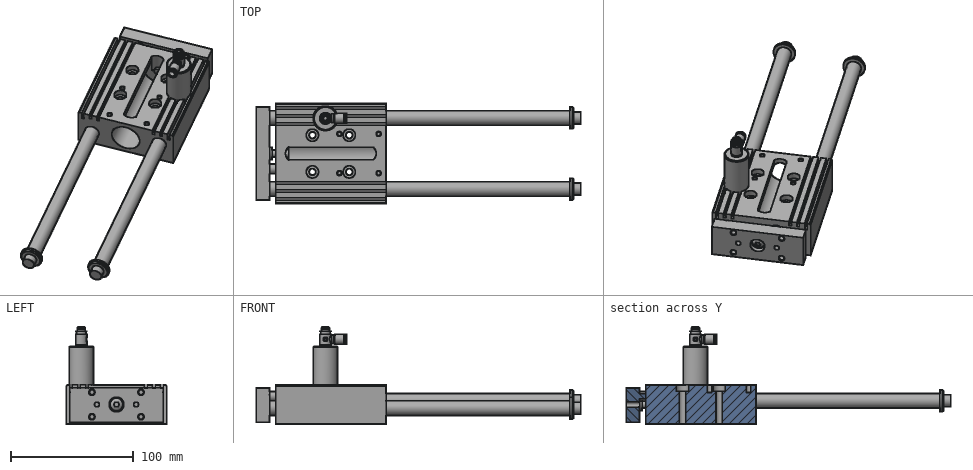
import cadquery as cq

CUT_MARGIN = 1.0

HOUSING_LENGTH = 90.0
HOUSING_WIDTH = 82.0
HOUSING_HEIGHT = 32.0
HOUSING_START = 16.0
HOUSING_END = HOUSING_START + HOUSING_LENGTH
EDGE_CHAMFER = 1.0
MID_HEIGHT = HOUSING_HEIGHT / 2

GROOVE_WIDTH = 2.0
GROOVE_DEPTH = 4.0
OUTER_GROOVE_DEPTH = 6.0
GROOVES = [(24.0, GROOVE_DEPTH), (30.5, GROOVE_DEPTH), (37.0, OUTER_GROOVE_DEPTH)]

BORE_DIAMETER = 24.0
BORE_START = 26.5
SLOT_WIDTH = 10.5
SLOT_END_BULGE = 2.5
SLOT_START = BORE_START - SLOT_END_BULGE
SLOT_END = 98.0

MOUNT_HOLE_DIAMETER = 5.2
MOUNT_BORE_DIAMETER = 10.0
MOUNT_BORE_DEPTH = 5.0
MOUNT_SPACING = 30.0
MOUNT_CENTER_X = 61.0

TOP_THREAD_CORE = 3.24
TOP_THREAD_MOUTH = 4.02
TOP_THREAD_DEPTH = 6.0
TOP_THREAD_SPACING = 32.0
TOP_THREAD_CENTER_X = 84.0

ROD_DIAMETER = 12.0
ROD_SIDE_OFFSET = 29.0
ROD_HEIGHT_OFFSET = 3.0
ROD_POSITIONS = [
    (-ROD_SIDE_OFFSET, MID_HEIGHT - ROD_HEIGHT_OFFSET),
    (ROD_SIDE_OFFSET, MID_HEIGHT + ROD_HEIGHT_OFFSET),
]
TOTAL_LENGTH = 265.0
STOP_DIAMETER = 18.0
STOP_THICKNESS = 3.0
STOP_CHAMFER = 1.0
ROD_TIP_DIAMETER = 10.0
ROD_TIP_LENGTH = 6.0
ROD_STOP_START = TOTAL_LENGTH - ROD_TIP_LENGTH - STOP_THICKNESS

PLATE_THICKNESS = 11.0
PLATE_WIDTH = 76.0
PLATE_HEIGHT = 28.0
PLATE_BOTTOM = 1.5
PLATE_THREAD_CORE = 4.13
PLATE_THREAD_MOUTH = 5.02
PLATE_THREAD_SPACING = (40.0, 20.0)
DOWEL_DIAMETER = 4.0
DOWEL_SPACING = 32.0

SCREW_RECESS_DIAMETER = 12.0
SCREW_RECESS_DEPTH = 4.5
SCREW_HEAD_DIAMETER = 10.5
SCREW_HEAD_HEIGHT = 3.3
SCREW_TOP_DIAMETER = 5.0
SCREW_DOME_BULGE = 0.55
SCREW_HEX_WIDTH = 4.0
SCREW_HEX_DEPTH = 2.0

PISTON_ROD_DIAMETER = 6.0
COLLAR_DIAMETER = 10.5
COLLAR_THICKNESS = 2.2
BUMPER_DIAMETER = 8.0
BUMPER_Y = -12.5
BUMPER_Z = 22.7

TOWER_X = 56.6
TOWER_Y = 28.7
TOWER_DIAMETER = 20.0
TOWER_TOP = 63.5
TOWER_CHAMFER = 0.8
NECK_DIAMETER = 9.0
NECK_HEIGHT = 1.4
FITTING_DIAMETER = 9.4
FITTING_TOP = 73.4
CAP_NECK_DIAMETER = 8.0
CAP_RIM_DIAMETER = 9.2
CAP_RIM_BOTTOM = 75.6
CAP_RIM_TOP = 75.9
CAP_DIAMETER = 6.7
CAP_CHAMFER = 0.9
TOTAL_HEIGHT = 79.26
CAP_GROOVE_BOTTOM = 77.4
CAP_GROOVE_WIDTH = 0.5
CAP_CORE_DIAMETER = 6.2
CAP_SOCKET_DIAMETER = 3.5
CAP_SOCKET_DEPTH = 1.0

OUTLET_Z = 69.2
OUTLET_NECK_DIAMETER = 6.5
OUTLET_COLLAR_DIAMETER = 7.5
OUTLET_COLLAR_START = TOWER_X + 5.2
OUTLET_COLLAR_END = OUTLET_COLLAR_START + 1.4
OUTLET_DIAMETER = 8.3
OUTLET_START = TOWER_X + 7.8
OUTLET_END = 74.0
OUTLET_RIM_LENGTH = 2.4
OUTLET_RIM_GROOVE_DIAMETER = 7.8
OUTLET_RIM_GROOVES = 3
OUTLET_BORE_DIAMETER = 5.2
OUTLET_BORE_DEPTH = 6.0

SIDE_PORT_DIAMETER = 3.5
SIDE_PORT_DEPTH = 0.8
SIDE_SOCKET_DIAMETER = 2.13
SIDE_SOCKET_DEPTH = 1.6


def cylinder_along_x(start, length, diameter, y, z):
    plane = cq.Workplane("YZ", origin=(start, y, z))
    return plane.circle(diameter / 2).extrude(length)


def cylinder_along_z(bottom, top, diameter):
    plane = cq.Workplane("XY", origin=(TOWER_X, TOWER_Y, bottom))
    return plane.circle(diameter / 2).extrude(top - bottom)


def housing_block():
    block = cq.Workplane("XY").box(
        HOUSING_LENGTH, HOUSING_WIDTH, HOUSING_HEIGHT, centered=(False, True, False)
    )
    block = block.translate((HOUSING_START, 0, 0))
    block = block.faces(">Z").edges("|X").chamfer(EDGE_CHAMFER)
    for offset, depth in GROOVES:
        for y in (-offset, offset):
            groove = cq.Workplane("XY").box(
                HOUSING_LENGTH, GROOVE_WIDTH, depth, centered=(False, True, False)
            )
            block = block.cut(groove.translate((HOUSING_START, y, HOUSING_HEIGHT - depth)))
    return block


def slot_cutter():
    """Long slot with shallow arcs as ends, from the bore axis up through the top."""
    left = SLOT_START + SLOT_END_BULGE
    right = SLOT_END - SLOT_END_BULGE
    half = SLOT_WIDTH / 2
    return (
        cq.Workplane("XY", origin=(0, 0, MID_HEIGHT))
        .moveTo(left, -half)
        .lineTo(right, -half)
        .threePointArc((SLOT_END, 0), (right, half))
        .lineTo(left, half)
        .threePointArc((SLOT_START, 0), (left, -half))
        .close()
        .extrude(MID_HEIGHT)
    )


def outlet_groove(start, width):
    ring = cq.Workplane("YZ", origin=(start, TOWER_Y, OUTLET_Z))
    return ring.circle(OUTLET_DIAMETER / 2).circle(OUTLET_RIM_GROOVE_DIAMETER / 2).extrude(width)


def tower_cap():
    cap = cylinder_along_z(CAP_RIM_TOP, TOTAL_HEIGHT, CAP_DIAMETER)
    cap = cap.faces(">Z").chamfer(CAP_CHAMFER)
    groove = cylinder_along_z(CAP_GROOVE_BOTTOM, CAP_GROOVE_BOTTOM + CAP_GROOVE_WIDTH, CAP_DIAMETER)
    core = cylinder_along_z(CAP_GROOVE_BOTTOM, TOTAL_HEIGHT, CAP_CORE_DIAMETER)
    cap = cap.cut(groove.cut(core))
    socket = cylinder_along_z(TOTAL_HEIGHT - CAP_SOCKET_DEPTH, TOTAL_HEIGHT, CAP_SOCKET_DIAMETER)
    return cap.cut(socket)


def tower():
    body = cylinder_along_z(MID_HEIGHT + ROD_HEIGHT_OFFSET, TOWER_TOP, TOWER_DIAMETER)
    body = body.faces(">Z").chamfer(TOWER_CHAMFER)
    neck_top = TOWER_TOP + NECK_HEIGHT
    body = body.union(cylinder_along_z(TOWER_TOP, neck_top, NECK_DIAMETER))
    body = body.union(cylinder_along_z(neck_top, FITTING_TOP, FITTING_DIAMETER))
    body = body.union(cylinder_along_z(FITTING_TOP, CAP_RIM_BOTTOM, CAP_NECK_DIAMETER))
    body = body.union(cylinder_along_z(CAP_RIM_BOTTOM, CAP_RIM_TOP, CAP_RIM_DIAMETER))
    body = body.union(tower_cap())

    outlet_parts = [
        (TOWER_X, OUTLET_START, OUTLET_NECK_DIAMETER),
        (OUTLET_COLLAR_START, OUTLET_COLLAR_END, OUTLET_COLLAR_DIAMETER),
        (OUTLET_START, OUTLET_END, OUTLET_DIAMETER),
    ]
    for start, end, diameter in outlet_parts:
        body = body.union(cylinder_along_x(start, end - start, diameter, TOWER_Y, OUTLET_Z))
    groove_pitch = OUTLET_RIM_LENGTH / OUTLET_RIM_GROOVES
    for i in range(OUTLET_RIM_GROOVES):
        start = OUTLET_END - OUTLET_RIM_LENGTH + i * groove_pitch
        body = body.cut(outlet_groove(start, groove_pitch / 2))
    bore_start = OUTLET_END - OUTLET_BORE_DEPTH
    body = body.cut(
        cylinder_along_x(bore_start, OUTLET_BORE_DEPTH, OUTLET_BORE_DIAMETER, TOWER_Y, OUTLET_Z)
    )
    for diameter, depth in [
        (SIDE_PORT_DIAMETER, SIDE_PORT_DEPTH),
        (SIDE_SOCKET_DIAMETER, SIDE_SOCKET_DEPTH),
    ]:
        port_floor = TOWER_Y - FITTING_DIAMETER / 2 + depth
        port = cq.Workplane("XZ", origin=(TOWER_X, port_floor, OUTLET_Z))
        body = body.cut(port.circle(diameter / 2).extrude(depth + CUT_MARGIN))
    return body


def top_thread_hole():
    """Blind threaded hole going down from Z = 0, with a 45 degree lead-in at its mouth."""
    core = TOP_THREAD_CORE / 2
    mouth = TOP_THREAD_MOUTH / 2
    outline = [(0, 0), (mouth, 0), (core, core - mouth), (core, -TOP_THREAD_DEPTH), (0, -TOP_THREAD_DEPTH)]
    hole = cq.Workplane("XZ").polyline(outline).close().revolve(360, (0, 0, 0), (0, 1, 0))
    return hole.val()


def make_housing():
    """Housing with tower, open piston bore, top holes and close-fitting passages for the rods."""
    body = housing_block()
    body = body.union(tower())
    body = body.cut(slot_cutter())
    body = body.cut(cylinder_along_x(BORE_START, HOUSING_END - BORE_START, BORE_DIAMETER, 0, MID_HEIGHT))

    top = cq.Workplane("XY", origin=(0, 0, HOUSING_HEIGHT))
    body = body.cut(
        top.center(MOUNT_CENTER_X, 0)
        .rarray(MOUNT_SPACING, MOUNT_SPACING, 2, 2)
        .circle(MOUNT_HOLE_DIAMETER / 2)
        .extrude(-HOUSING_HEIGHT)
    )
    body = body.cut(
        top.center(MOUNT_CENTER_X, 0)
        .rarray(MOUNT_SPACING, MOUNT_SPACING, 2, 2)
        .circle(MOUNT_BORE_DIAMETER / 2)
        .extrude(-MOUNT_BORE_DEPTH)
    )
    threads = top.center(TOP_THREAD_CENTER_X, 0).rarray(TOP_THREAD_SPACING, TOP_THREAD_SPACING, 2, 2)
    body = body.cut(threads.eachpoint(top_thread_hole(), combine=False))

    for y, z in ROD_POSITIONS:
        body = body.cut(cylinder_along_x(HOUSING_START, HOUSING_LENGTH, ROD_DIAMETER, y, z))
    rod_hole_length = BORE_START - HOUSING_START
    return body.cut(cylinder_along_x(HOUSING_START, rod_hole_length, PISTON_ROD_DIAMETER, 0, MID_HEIGHT))


def guide_rod(y, z):
    rod = cylinder_along_x(PLATE_THICKNESS, ROD_STOP_START - PLATE_THICKNESS, ROD_DIAMETER, y, z)
    stop = cylinder_along_x(ROD_STOP_START, STOP_THICKNESS, STOP_DIAMETER, y, z)
    stop = stop.faces(">X").chamfer(STOP_CHAMFER)
    tip = cylinder_along_x(TOTAL_LENGTH - ROD_TIP_LENGTH, ROD_TIP_LENGTH, ROD_TIP_DIAMETER, y, z)
    return rod.union(stop).union(tip)


def button_head():
    """Domed screw head with a hexagon socket, sitting on the floor of its recess."""
    top = SCREW_RECESS_DEPTH - SCREW_HEAD_HEIGHT
    outer = SCREW_HEAD_DIAMETER / 2
    inner = SCREW_TOP_DIAMETER / 2
    mid = (top + SCREW_HEAD_HEIGHT / 3, (outer + inner) / 2 + SCREW_DOME_BULGE)
    head = (
        cq.Workplane("XY")
        .moveTo(top, 0)
        .lineTo(top, inner)
        .threePointArc(mid, (SCREW_RECESS_DEPTH, outer))
        .lineTo(SCREW_RECESS_DEPTH, 0)
        .close()
        .revolve(360, (0, 0, 0), (1, 0, 0))
        .translate((0, 0, MID_HEIGHT))
    )
    hexagon = (
        cq.Workplane("YZ", origin=(top, 0, MID_HEIGHT))
        .transformed(rotate=(0, 0, 90))
        .polygon(6, SCREW_HEX_WIDTH, circumscribed=True)
        .extrude(SCREW_HEX_DEPTH)
    )
    return head.cut(hexagon)


def make_slide():
    """Front plate with its screw, piston rod, bumper and guide rods, as one moving body."""
    body = cq.Workplane("XY").box(
        PLATE_THICKNESS, PLATE_WIDTH, PLATE_HEIGHT, centered=(False, True, False)
    )
    body = body.translate((0, 0, PLATE_BOTTOM))
    front = cq.Workplane("YZ", origin=(0, 0, MID_HEIGHT))
    body = body.cut(
        front.rarray(*PLATE_THREAD_SPACING, 2, 2).circle(PLATE_THREAD_CORE / 2).extrude(PLATE_THICKNESS)
    )
    sink = (PLATE_THREAD_MOUTH - PLATE_THREAD_CORE) / 2
    body = body.faces("<X").edges(cq.selectors.RadiusNthSelector(0)).chamfer(sink)
    body = body.cut(
        front.rarray(DOWEL_SPACING, 1, 2, 1).circle(DOWEL_DIAMETER / 2).extrude(PLATE_THICKNESS)
    )
    body = body.cut(cylinder_along_x(0, SCREW_RECESS_DEPTH, SCREW_RECESS_DIAMETER, 0, MID_HEIGHT))
    body = body.union(button_head())

    body = body.union(cylinder_along_x(PLATE_THICKNESS, COLLAR_THICKNESS, COLLAR_DIAMETER, 0, MID_HEIGHT))
    body = body.union(
        cylinder_along_x(PLATE_THICKNESS, BORE_START - PLATE_THICKNESS, PISTON_ROD_DIAMETER, 0, MID_HEIGHT)
    )
    gap = HOUSING_START - PLATE_THICKNESS
    body = body.union(cylinder_along_x(PLATE_THICKNESS, gap, BUMPER_DIAMETER, BUMPER_Y, BUMPER_Z))
    for y, z in ROD_POSITIONS:
        body = body.union(guide_rod(y, z))
    return body


housing = make_housing()
slide = make_slide()
result = cq.Compound.makeCompound([housing.val(), slide.val()])